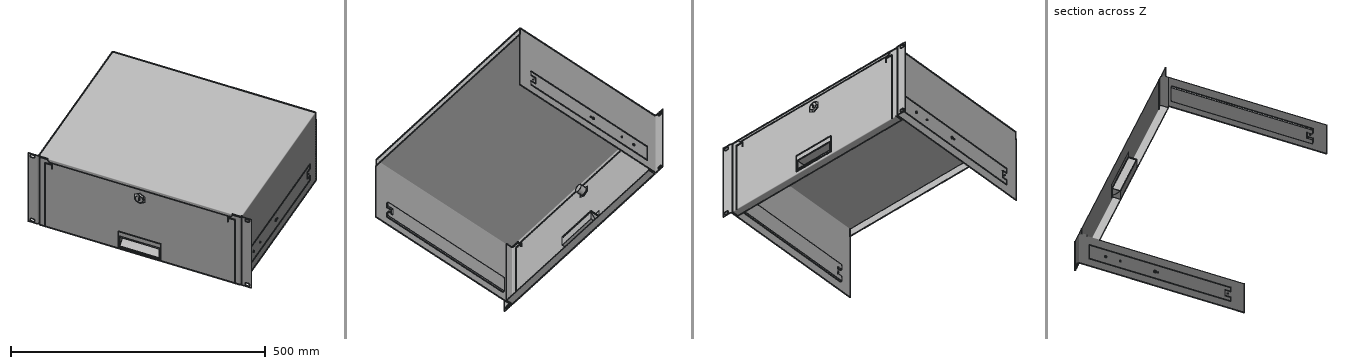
import cadquery as cq
SHEET = 1.5
BEND = 2.0
RACK_WIDTH = 483.0
HEIGHT = 178.0
FOLD = 2 * BEND
REAR_Y = 349.5

CHASSIS_HALF_WIDTH = 220.5
CHASSIS_BOTTOM = 2.0
REAR_LIP_HEIGHT = 19.5
REAR_LIP_ROUND = 1.0
FRONT_LIP_HALF_WIDTH = 199.5
FRONT_LIP_BOTTOM = 169.5
FRONT_LIP_CHAMFER = 4.0
EAR_SLOT_LENGTH = 10.0
EAR_SLOT_HEIGHT = 7.0
EAR_SLOT_X = 232.5
EAR_SLOT_HEIGHTS = (7.5, 172.5)

DRAWER_HALF_WIDTH = 218.0
TOP_GAP = 1.0
DRAWER_TOP = HEIGHT - SHEET - TOP_GAP
RETURN_DEPTH = 16.5
SLIT_WIDTH = 1.5
SLIT_X = 205.8
SLIT_TOP = 165.0
SLIT_HOOK_X = 190.5
SLIT_HOOK_BOTTOM = 155.0

HANDLE_WIDTH = 92.0
HANDLE_BOTTOM = 7.0
HANDLE_TOP = 47.0
HANDLE_PLATE = 2.0
CUP_WIDTH = 85.0
CUP_BOTTOM = 10.5
CUP_TOP = 33.5
CUP_DEPTH = 17.5
CUP_SAG = 2.0
CUP_WALL = 1.5

LOCK_Z = 148.0
LOCK_PROTRUSION = 3.5
LOCK_HEX_CORNERS = 26.0
LOCK_FLANGE = 1.0
LOCK_TAPER_RADIUS = 11.0
LOCK_FACE_RADIUS = 8.0
LOCK_BARREL_RADIUS = 8.5
LOCK_BARREL_DEPTH = 14.5
KEYWAY_WIDTH = 2.0
KEYWAY_HEIGHT = 6.0
KEYWAY_DEPTH = 2.5

SLIDE_THICKNESS = 5.0
SLIDE_FRONT = 22.0
SLIDE_REAR = 321.0
SLIDE_BOTTOM = 24.0
SLIDE_TOP = 65.5
SLIDE_NOTCH_LENGTH = 12.0
SLIDE_NOTCH_HEIGHT = 17.5
SLIDE_AXIS_Z = (SLIDE_BOTTOM + SLIDE_TOP) / 2
SLIDE_HOLES = ((167.5, 2.5), (161.5, 6.0), (88.0, 3.5), (57.0, 5.0))
REAR_SCREW_HOLE = (315.0, 2.5)


def block(x0, x1, y0, y1, z0, z1):
    """Axis-aligned block between the given limits."""
    return cq.Workplane("XY").box(x1 - x0, y1 - y0, z1 - z0, centered=False).translate((x0, y0, z0))


def slide_outline(thickness):
    """Slide profile with its rear notch, extruded inward (+X) from the left chassis wall face."""
    notch_front = SLIDE_REAR - SLIDE_NOTCH_LENGTH
    notch_low = SLIDE_AXIS_Z - SLIDE_NOTCH_HEIGHT / 2
    notch_high = SLIDE_AXIS_Z + SLIDE_NOTCH_HEIGHT / 2
    return (
        cq.Workplane("YZ", origin=(-CHASSIS_HALF_WIDTH, 0, 0))
        .moveTo(SLIDE_FRONT, SLIDE_BOTTOM)
        .lineTo(SLIDE_REAR, SLIDE_BOTTOM)
        .lineTo(SLIDE_REAR, notch_low)
        .lineTo(notch_front, notch_low)
        .lineTo(notch_front, notch_high)
        .lineTo(SLIDE_REAR, notch_high)
        .lineTo(SLIDE_REAR, SLIDE_TOP)
        .lineTo(SLIDE_FRONT, SLIDE_TOP)
        .close()
        .extrude(thickness)
    )


def wall_holes(holes):
    """Round holes along the slide axis, one sheet thickness deep from the left chassis wall face."""
    tools = cq.Workplane("YZ", origin=(-CHASSIS_HALF_WIDTH, 0, 0))
    for y, diameter in holes:
        tools = tools.moveTo(y, SLIDE_AXIS_Z).circle(diameter / 2)
    return tools.extrude(SHEET)


def make_front_lip():
    """Lip folded down from the front edge of the chassis top, with chamfered lower corners."""
    half = FRONT_LIP_HALF_WIDTH
    lip = block(-half, half, 0, FOLD, FRONT_LIP_BOTTOM, HEIGHT)
    lip = lip.edges("|X and <Y and >Z").fillet(BEND)
    lip = lip.edges("|Y and <Z").chamfer(FRONT_LIP_CHAMFER)
    inside = block(-half, half, SHEET, FOLD, FRONT_LIP_BOTTOM, HEIGHT - SHEET)
    inside = inside.edges("|X and <Y and >Z").fillet(BEND - SHEET)
    return lip.cut(inside)


def make_ear():
    """Left mounting ear, bent outward from the side wall, with two slots."""
    wall_inner = -CHASSIS_HALF_WIDTH + SHEET
    ear = block(-RACK_WIDTH / 2, wall_inner, 0, FOLD, CHASSIS_BOTTOM, HEIGHT)
    ear = ear.edges("|Z and >X and <Y").fillet(BEND)
    behind = block(-RACK_WIDTH / 2, -CHASSIS_HALF_WIDTH, SHEET, FOLD, CHASSIS_BOTTOM, HEIGHT)
    behind = behind.edges("|Z and >X and <Y").fillet(BEND - SHEET)
    slots = (
        cq.Workplane("XZ")
        .pushPoints([(-EAR_SLOT_X, z) for z in EAR_SLOT_HEIGHTS])
        .slot2D(EAR_SLOT_LENGTH, EAR_SLOT_HEIGHT)
        .extrude(-SHEET)
    )
    return ear.cut(behind).cut(slots)


def make_chassis():
    """Inverted U sheet with mounting ears, front and rear lips, and slide windows in the sides."""
    half = CHASSIS_HALF_WIDTH
    shell = block(-half, half, FOLD, REAR_Y, CHASSIS_BOTTOM, HEIGHT)
    shell = shell.edges("|Y and >Z").fillet(BEND)
    inside = block(-half + SHEET, half - SHEET, FOLD, REAR_Y, CHASSIS_BOTTOM, HEIGHT - SHEET)
    inside = inside.edges("|Y and >Z").fillet(BEND - SHEET)
    rear_lip_bottom = HEIGHT - REAR_LIP_HEIGHT
    rear_notch = block(-half, half, REAR_Y - SHEET, REAR_Y, rear_lip_bottom, HEIGHT)
    rear_lip = block(-half + BEND, half - BEND, REAR_Y - SHEET, REAR_Y, rear_lip_bottom, HEIGHT)
    rear_lip = rear_lip.edges("|X and >Y and >Z").fillet(REAR_LIP_ROUND)
    front_strip = block(FRONT_LIP_HALF_WIDTH, half - BEND, SHEET, FOLD, HEIGHT - SHEET, HEIGHT)
    ear = make_ear()
    chassis = shell.cut(inside).cut(rear_notch).union(rear_lip).union(make_front_lip())
    chassis = chassis.union(front_strip).union(front_strip.mirror("YZ"))
    chassis = chassis.union(ear).union(ear.mirror("YZ"))
    side_cuts = slide_outline(SHEET).union(wall_holes([REAR_SCREW_HOLE]))
    return chassis.cut(side_cuts).cut(side_cuts.mirror("YZ"))


def make_hook_slits():
    """Narrow slits rising from the panel bottom and hooking inward, one per side."""
    half = SLIT_WIDTH / 2
    upright = block(-SLIT_X - half, -SLIT_X + half, 0, SHEET, BEND, SLIT_TOP + half)
    bar = block(-SLIT_X - half, -SLIT_HOOK_X + half, 0, SHEET, SLIT_TOP - half, SLIT_TOP + half)
    hook = block(-SLIT_HOOK_X - half, -SLIT_HOOK_X + half, 0, SHEET, SLIT_HOOK_BOTTOM, SLIT_TOP)
    slit = upright.union(bar).union(hook)
    slit = slit.edges("|Y and <X and >Z").chamfer(SLIT_WIDTH)
    return slit.union(slit.mirror("YZ"))


def cup_block(depth):
    """Outside of the handle cup, walls included, reaching back from the panel front face."""
    half = CUP_WIDTH / 2 + CUP_WALL
    return block(-half, half, 0, depth, CUP_BOTTOM - CUP_WALL, CUP_TOP + CUP_WALL)


def make_drawer_front():
    """Panel with folded side and bottom returns, relieved around the chassis front lip."""
    half = DRAWER_HALF_WIDTH
    pan = block(-half, half, 0, RETURN_DEPTH, 0, DRAWER_TOP)
    pan = pan.edges("<Y and (|Z or <Z)").fillet(BEND)
    inside = block(-half + SHEET, half - SHEET, SHEET, RETURN_DEPTH, SHEET, DRAWER_TOP)
    inside = inside.edges("<Y and (|Z or <Z)").fillet(BEND - SHEET)
    lip_relief = block(
        -FRONT_LIP_HALF_WIDTH, FRONT_LIP_HALF_WIDTH, 0, FOLD, FRONT_LIP_BOTTOM, HEIGHT
    )
    lip_relief = lip_relief.edges("|Y and <Z").chamfer(FRONT_LIP_CHAMFER)
    lock_hole = lock_axis().circle(LOCK_BARREL_RADIUS).extrude(-SHEET)
    cup_hole = cup_block(SHEET)
    return pan.cut(inside).cut(lip_relief).cut(make_hook_slits()).cut(lock_hole).cut(cup_hole)


def make_handle():
    """Flush pull: a face plate with a scoop whose hollow floor rises toward the back."""
    half = HANDLE_WIDTH / 2
    plate = block(-half, half, -HANDLE_PLATE, 0, HANDLE_BOTTOM, HANDLE_TOP)
    cup_half = CUP_WIDTH / 2
    cup = cup_block(CUP_DEPTH + CUP_WALL)
    scoop = (
        cq.Workplane("YZ", origin=(-cup_half, 0, 0))
        .moveTo(-HANDLE_PLATE, CUP_BOTTOM)
        .sagittaArc((CUP_DEPTH, CUP_TOP), -CUP_SAG)
        .lineTo(-HANDLE_PLATE, CUP_TOP)
        .close()
        .extrude(CUP_WIDTH)
    )
    return plate.union(cup).cut(scoop)


def lock_axis():
    """Workplane in the ear plane, centred on the lock and facing forward."""
    return cq.Workplane("XZ", origin=(0, 0, LOCK_Z))


def lock_cone(base_radius, end_radius, base_height, end_height):
    """Truncated cone on the lock axis, tapering forward between two heights above the panel."""
    base = cq.Vector(0, -base_height, LOCK_Z)
    forward = cq.Vector(0, -1, 0)
    return cq.Workplane(
        cq.Solid.makeCone(base_radius, end_radius, end_height - base_height, base, forward)
    )


def make_lock():
    """Chamfered hexagonal flange, tapered face with a keyway, and a barrel through the panel."""
    flange = lock_axis().transformed(rotate=(0, 0, 90)).polygon(6, LOCK_HEX_CORNERS)
    flange = flange.extrude(LOCK_FLANGE)
    chamfer = lock_cone(LOCK_HEX_CORNERS / 2, LOCK_TAPER_RADIUS, 0, LOCK_FLANGE)
    face = lock_cone(LOCK_TAPER_RADIUS, LOCK_FACE_RADIUS, LOCK_FLANGE, LOCK_PROTRUSION)
    barrel = lock_axis().circle(LOCK_BARREL_RADIUS).extrude(-LOCK_BARREL_DEPTH)
    keyway = (
        lock_axis()
        .workplane(offset=LOCK_PROTRUSION)
        .rect(KEYWAY_WIDTH, KEYWAY_HEIGHT)
        .extrude(-KEYWAY_DEPTH)
    )
    return flange.intersect(chamfer).union(face).union(barrel).cut(keyway)


def make_slide():
    """Left drawer slide with blind holes, its outer face flush in the chassis wall window."""
    return slide_outline(SLIDE_THICKNESS).cut(wall_holes(SLIDE_HOLES))


chassis = make_chassis()
drawer_front = make_drawer_front()
handle = make_handle()
lock = make_lock()
left_slide = make_slide()
slides = [left_slide, left_slide.mirror("YZ")]

result = cq.Compound.makeCompound(
    [chassis.val(), drawer_front.val(), handle.val(), lock.val(), *[slide.val() for slide in slides]]
)